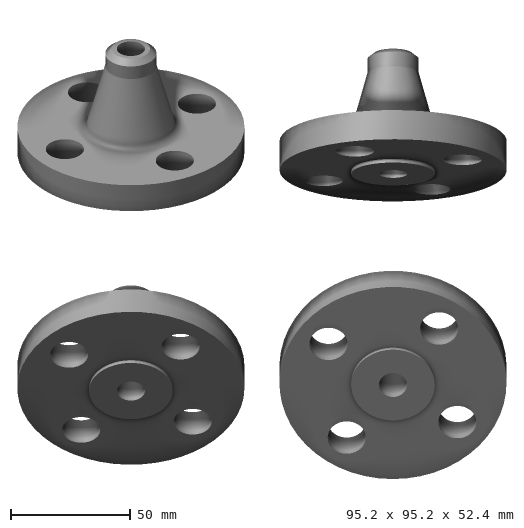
import cadquery as cq

flange_diameter = 95.25
raised_face_diameter = 35.1
raised_face_height = 1.6
flange_top = 14.3

bolt_circle_diameter = 66.5
bolt_hole_diameter = 16.0
bolt_hole_count = 4

overall_height = 52.39
bore_diameter = 11.8
pipe_diameter = 21.5
pipe_length = 8.3
hub_base_diameter = 38.1
fillet_radius = 3.0

land_width = 2.1
bevel_height = 2.2


def make_body():
    """Revolve the solid profile of raised face, flange, hub and neck about Z."""
    flange_radius = flange_diameter / 2
    face_radius = raised_face_diameter / 2
    hub_radius = hub_base_diameter / 2
    pipe_radius = pipe_diameter / 2
    land_radius = bore_diameter / 2 + land_width
    hub_top = overall_height - pipe_length

    profile = (
        cq.Workplane("XZ")
        .lineTo(face_radius, 0)
        .lineTo(face_radius, raised_face_height)
        .lineTo(flange_radius, raised_face_height)
        .lineTo(flange_radius, flange_top)
        .lineTo(hub_radius, flange_top)
        .lineTo(pipe_radius, hub_top)
        .lineTo(pipe_radius, overall_height - bevel_height)
        .lineTo(land_radius, overall_height)
        .lineTo(0, overall_height)
        .close()
    )
    return profile.revolve(360, (0, 0, 0), (0, 1, 0))


def fillet_hub_base(body):
    """Round the inside corner where the hub meets the top of the flange."""
    hub_base_edge = cq.selectors.RadiusNthSelector(-2)
    return body.edges(hub_base_edge).fillet(fillet_radius)


def cut_bore(body):
    bore = cq.Workplane("XY").circle(bore_diameter / 2).extrude(overall_height)
    return body.cut(bore)


def cut_bolt_holes(body):
    holes = (
        cq.Workplane("XY")
        .polarArray(bolt_circle_diameter / 2, 0, 360, bolt_hole_count)
        .circle(bolt_hole_diameter / 2)
        .extrude(flange_top)
    )
    return body.cut(holes)


result = cut_bolt_holes(cut_bore(fillet_hub_base(make_body())))